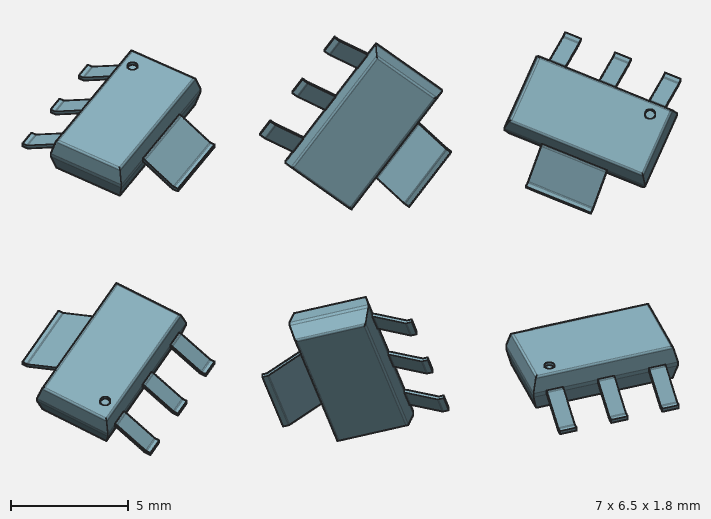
import cadquery as cq
import math

span_x = 7.0
height = 1.8

body_x = 3.5
body_y = 6.5
standoff = 0.05
belt_bottom = 0.87
belt_top = 1.065
draft_angle = 13.0
rim_radius = 0.1

mark_diameter = 0.44
mark_depth = 0.17
mark_from_side = 0.7
mark_from_end = 0.96

sheet = 0.175
foot_length = 0.22
shoulder_length = 0.085
bend_radius = 0.1
lead_width = 0.74
lead_pitch = 2.3
lead_count = 3
tab_width = 3.0


def make_housing():
    """Belted block drafted both ways, with rounded rims and a pin 1 dimple."""
    belt = (
        cq.Workplane("XY")
        .workplane(offset=belt_bottom)
        .rect(body_x, body_y)
        .extrude(belt_top - belt_bottom)
    )
    upper = (
        cq.Workplane("XY")
        .workplane(offset=belt_top)
        .rect(body_x, body_y)
        .extrude(height - belt_top, taper=draft_angle)
    )
    lower = (
        cq.Workplane("XY")
        .workplane(offset=belt_bottom)
        .rect(body_x, body_y)
        .extrude(standoff - belt_bottom, taper=draft_angle)
    )
    block = belt.union(upper).union(lower)
    block = block.faces(">Z or <Z").edges().fillet(rim_radius)

    mark = (
        cq.Workplane("XY")
        .workplane(offset=height - mark_depth)
        .center(mark_from_side - body_x / 2, body_y / 2 - mark_from_end)
        .circle(mark_diameter / 2)
        .extrude(mark_depth)
    )
    return block.cut(mark)


def make_bent_strip(width):
    """Strip on the -X side, centred on Y = 0: shoulder, slope down, flat foot."""
    tip_x = -span_x / 2
    root_x = -body_x / 2
    foot_bend_x = tip_x + foot_length
    shoulder_bend_x = root_x - shoulder_length
    slope = math.atan2(belt_top - sheet, shoulder_bend_x - foot_bend_x)
    corner_shift = sheet * math.tan(slope / 2)

    strip = (
        cq.Workplane("XZ")
        .moveTo(tip_x, 0)
        .lineTo(foot_bend_x + corner_shift, 0)
        .lineTo(shoulder_bend_x + corner_shift, belt_top - sheet)
        .lineTo(root_x, belt_top - sheet)
        .lineTo(root_x, belt_top)
        .lineTo(shoulder_bend_x, belt_top)
        .lineTo(foot_bend_x, sheet)
        .lineTo(tip_x, sheet)
        .close()
        .extrude(width / 2, both=True)
    )
    bend_edges = strip.edges("|Y").edges("not(<X or >X)")
    return bend_edges.fillet(bend_radius)


def make_leads():
    """Row of equal leads along the -X side."""
    leads = []
    for index in range(lead_count):
        lead_y = (index - (lead_count - 1) / 2) * lead_pitch
        leads.append(make_bent_strip(lead_width).translate((0, lead_y, 0)))
    return leads


def make_tab():
    """Wide tab on the +X side with the same bend as the leads."""
    return make_bent_strip(tab_width).mirror("YZ")


housing = make_housing()
leads = make_leads()
tab = make_tab()

result = cq.Compound.makeCompound(
    [housing.val(), *[lead.val() for lead in leads], tab.val()]
)